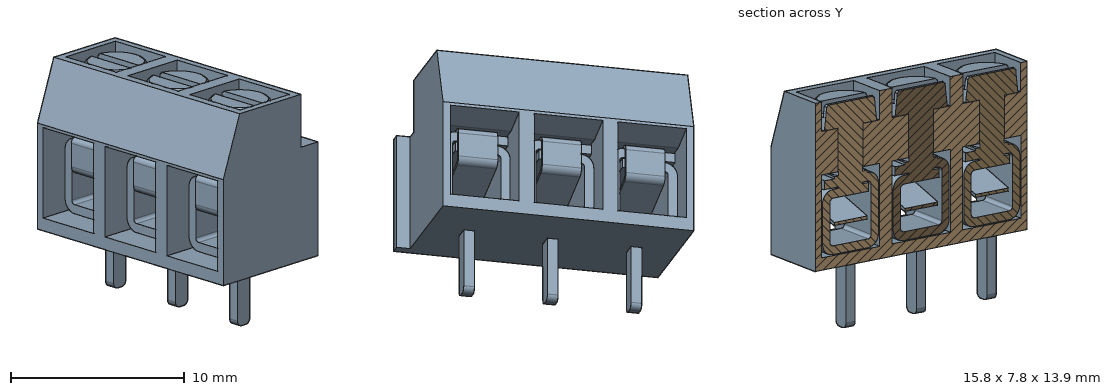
import cadquery as cq
import math


POLE_COUNT = 3
BODY_WIDTH = 15.0
PITCH = BODY_WIDTH / POLE_COUNT
POLE_POSITIONS = [(i - (POLE_COUNT - 1) / 2) * PITCH for i in range(POLE_COUNT)]

TOTAL_WIDTH = 15.8
DEPTH = 7.8
HEIGHT = 10.11
TAB_WIDTH = TOTAL_WIDTH - BODY_WIDTH
TAB_THICKNESS = 0.7
SHELF_DEPTH = 1.4
SHELF_HEIGHT = 6.9
SLOPE_DEPTH = 1.35
SLOPE_START_HEIGHT = 6.43
FRONT = -DEPTH / 2
BACK = DEPTH / 2

WELL_SIZE = 4.06
WIRE_POCKET_WIDTH = 4.1
WIRE_POCKET_FLOOR = 0.77
WIRE_POCKET_MOUTH_TOP = 6.25
WIRE_POCKET_CEILING = 5.72

CAGE_WIDTH = 4.0
CAGE_DEPTH = 4.27
CAGE_THICKNESS = 0.55
CAGE_BEND_RADIUS = 0.77
CAGE_FLOOR_GAP = 0.03
CAGE_BOTTOM = WIRE_POCKET_FLOOR + CAGE_FLOOR_GAP
CAGE_TOP = 5.35
CAGE_LAP_GAP = 0.06
CAGE_OUTER_END = 1.86
CAGE_INNER_END = -1.28

LEAF_WIDTH = 2.34
LEAF_THICKNESS = 0.2
LEAF_UPPER_BEND_RADIUS = 0.38
LEAF_LOWER_BEND_RADIUS = 0.46
LEAF_FRONT = -2.46
LEAF_REAR_HEIGHT = 2.09
LEAF_SLOPE = 16.5

HEAD_TOP = 9.86
HEAD_HEIGHT = 1.5
HEAD_TOP_DIAMETER = 3.57
HEAD_BASE_DIAMETER = 3.87
HEAD_CHAMFER = 0.13
SLOT_WIDTH = 0.7
SLOT_DEPTH = 0.76
SHANK_DIAMETER = 2.0
WELL_FLOOR = HEAD_TOP - HEAD_HEIGHT
SHANK_END = CAGE_TOP - 2 * CAGE_THICKNESS - CAGE_LAP_GAP

PIN_WIDTH = 0.65
PIN_DEPTH = 1.01
PIN_LENGTH = 3.79
PIN_END_RADIUS = 0.35


def box(x_range, y_range, z_range):
    size = [high - low for low, high in (x_range, y_range, z_range)]
    return cq.Workplane("XY").box(*size, centered=False).translate((x_range[0], y_range[0], z_range[0]))


def bent_strip(plane, corners, outer_bend_radii, thickness, width):
    """Sweep a flat section, centred on the plane, along a path whose inner corners are rounded."""
    points = [cq.Vector(u, v) for u, v in corners]
    path = cq.Wire.makePolygon(points)
    for corner, outer_radius in zip(points[1:-1], outer_bend_radii):
        bend = min(path.Vertices(), key=lambda vertex: (vertex.Center() - corner).Length)
        path = path.fillet(outer_radius - thickness / 2, [bend])
    path = path.moved(cq.Location(plane))
    section = cq.Workplane(cq.Plane(path.startPoint(), plane.zDir, path.tangentAt(0))).rect(width, thickness)
    return section.sweep(cq.Workplane(path))


def shank(x, bottom, top):
    return cq.Workplane("XY", origin=(x, 0, bottom)).circle(SHANK_DIAMETER / 2).extrude(top - bottom)


def pin_shaft(x, bottom, top):
    half_width = PIN_WIDTH / 2
    half_depth = PIN_DEPTH / 2
    return box((x - half_width, x + half_width), (-half_depth, half_depth), (bottom, top))


def make_body():
    profile = [
        (FRONT, 0),
        (FRONT, SLOPE_START_HEIGHT),
        (FRONT + SLOPE_DEPTH, HEIGHT),
        (BACK - SHELF_DEPTH, HEIGHT),
        (BACK - SHELF_DEPTH, SHELF_HEIGHT),
        (BACK, SHELF_HEIGHT),
        (BACK, 0),
    ]
    body = cq.Workplane("YZ").polyline(profile).close().extrude(BODY_WIDTH / 2, both=True)
    side = -BODY_WIDTH / 2
    tab = box((side - TAB_WIDTH, side), (BACK - TAB_THICKNESS, BACK), (0, SHELF_HEIGHT))
    return body.union(tab)


def screw_well(x):
    half = WELL_SIZE / 2
    return box((x - half, x + half), (-half, half), (WELL_FLOOR, HEIGHT))


def wire_pocket(x):
    """Pocket open to the front, its ceiling sloping down as far as the cage and then level."""
    half_cage = CAGE_DEPTH / 2
    profile = [
        (FRONT, WIRE_POCKET_FLOOR),
        (FRONT, WIRE_POCKET_MOUTH_TOP),
        (-half_cage, WIRE_POCKET_CEILING),
        (half_cage, WIRE_POCKET_CEILING),
        (half_cage, WIRE_POCKET_FLOOR),
    ]
    pocket = cq.Workplane("YZ").polyline(profile).close().extrude(WIRE_POCKET_WIDTH / 2, both=True)
    return pocket.translate((x, 0, 0))


def make_housing():
    housing = make_body()
    for x in POLE_POSITIONS:
        housing = housing.cut(screw_well(x))
        housing = housing.cut(wire_pocket(x))
        housing = housing.cut(shank(x, WIRE_POCKET_CEILING, WELL_FLOOR))
        housing = housing.cut(pin_shaft(x, 0, WIRE_POCKET_FLOOR))
    return housing.solids().val()


def make_cage():
    half_thickness = CAGE_THICKNESS / 2
    side = CAGE_WIDTH / 2 - half_thickness
    bottom = CAGE_BOTTOM + half_thickness
    outer_lap = CAGE_TOP - half_thickness
    inner_lap = outer_lap - CAGE_THICKNESS - CAGE_LAP_GAP
    corners = [
        (CAGE_OUTER_END, outer_lap),
        (-side, outer_lap),
        (-side, bottom),
        (side, bottom),
        (side, inner_lap),
        (CAGE_INNER_END, inner_lap),
    ]
    bend_radii = [CAGE_BEND_RADIUS] * (len(corners) - 2)
    return bent_strip(cq.Plane.XZ(), corners, bend_radii, CAGE_THICKNESS, CAGE_DEPTH)


def make_leaf():
    """Leaf whose top rests on the cage in front and sinks half its thickness into it at the rear."""
    half_thickness = LEAF_THICKNESS / 2
    front = LEAF_FRONT + half_thickness
    rear = CAGE_DEPTH / 2 - half_thickness
    top = CAGE_TOP + half_thickness
    rear_height = LEAF_REAR_HEIGHT + half_thickness
    front_height = rear_height + (rear - front) * math.tan(math.radians(LEAF_SLOPE))
    corners = [(rear, CAGE_TOP), (front, top), (front, front_height), (rear, rear_height)]
    bend_radii = [LEAF_UPPER_BEND_RADIUS, LEAF_LOWER_BEND_RADIUS]
    return bent_strip(cq.Plane.YZ(), corners, bend_radii, LEAF_THICKNESS, LEAF_WIDTH)


def make_screw():
    top_radius = HEAD_TOP_DIAMETER / 2
    head_profile = [
        (0, WELL_FLOOR),
        (HEAD_BASE_DIAMETER / 2, WELL_FLOOR),
        (top_radius, HEAD_TOP - HEAD_CHAMFER),
        (top_radius - HEAD_CHAMFER, HEAD_TOP),
        (0, HEAD_TOP),
    ]
    head = cq.Workplane("XZ").polyline(head_profile).close().revolve(360, (0, 0), (0, 1))
    slot_reach = HEAD_BASE_DIAMETER / 2
    slot = box(
        (-slot_reach, slot_reach),
        (-SLOT_WIDTH / 2, SLOT_WIDTH / 2),
        (HEAD_TOP - SLOT_DEPTH, HEAD_TOP),
    )
    return head.cut(slot).union(shank(0, SHANK_END, WELL_FLOOR))


def make_pin():
    pin = pin_shaft(0, -PIN_LENGTH, CAGE_BOTTOM)
    return pin.faces("<Z").edges("|X").fillet(PIN_END_RADIUS)


def make_contact():
    """One pole's metal parts joined into a single solid: cage, leaf, screw and pin."""
    contact = make_cage().union(make_leaf()).union(make_screw()).union(make_pin())
    return contact.solids().val()


housing = make_housing()
contact = make_contact()
contacts = [contact.translate((x, 0, 0)) for x in POLE_POSITIONS]

result = cq.Compound.makeCompound([housing, *contacts])